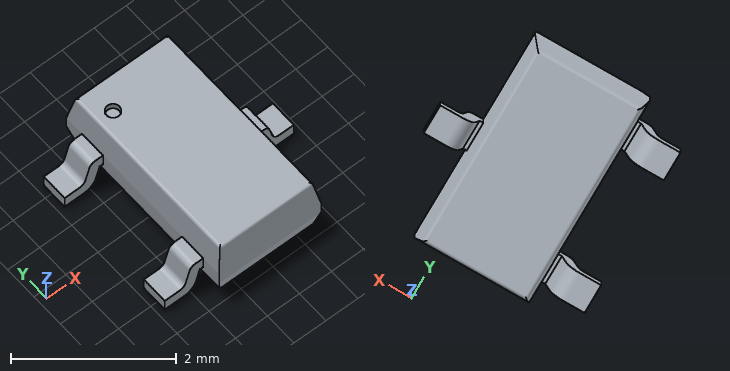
import cadquery as cq
import math

body_width = 1.6
body_length = 2.9
body_bottom = 0.05
body_top = 1.0
upper_draft = math.radians(10)
edge_radius = 0.04

mark_diameter = 0.2
mark_depth = 0.1
mark_x = -0.48

span = 2.8
lead_thickness = 0.2
lead_width = 0.4
lead_pitch = 0.95
shoulder_top = 0.56
shoulder_bottom = shoulder_top - lead_thickness
leg_angle = math.radians(74)
upper_corner_reach = 0.193
bend_radius = 0.1
heel_radius = 0.2

face_inset = (body_top - shoulder_top) * math.tan(upper_draft)


def drafted_half(parting_z, face_z):
    """Tapered block from the parting outline to the smaller, flat end face."""
    return (
        cq.Workplane("XY", origin=(0, 0, parting_z))
        .rect(body_width, body_length)
        .workplane(offset=face_z - parting_z)
        .rect(body_width - 2 * face_inset, body_length - 2 * face_inset)
        .loft(ruled=True)
    )


def make_body():
    """Straight band level with the leads, drafted above and below, with a pin 1 mark."""
    band = (
        cq.Workplane("XY", origin=(0, 0, shoulder_bottom))
        .rect(body_width, body_length)
        .extrude(lead_thickness)
    )
    upper = drafted_half(shoulder_top, body_top).faces(">Z").edges().fillet(edge_radius)
    lower = drafted_half(shoulder_bottom, body_bottom).faces("<Z").edges().fillet(edge_radius)
    mark = (
        cq.Workplane("XY", origin=(mark_x, lead_pitch, body_top))
        .circle(mark_diameter / 2)
        .extrude(-mark_depth)
    )
    return band.union(upper).union(lower).cut(mark)


def make_lead(side, y_center):
    """One lead, butted against the body face on the given side (-1 or +1) of X."""
    body_face = body_width / 2
    tip = span / 2

    def leg_outer_x(z):
        return body_face + upper_corner_reach + (shoulder_top - z) / math.tan(leg_angle)

    def leg_inner_x(z):
        return leg_outer_x(z) - lead_thickness

    shoulder_corner = (leg_outer_x(shoulder_top), shoulder_top)
    foot_corner = (leg_outer_x(lead_thickness), lead_thickness)
    heel_corner = (leg_inner_x(0), 0)
    profile = [
        (body_face, shoulder_top),
        shoulder_corner,
        foot_corner,
        (tip, lead_thickness),
        (tip, 0),
        heel_corner,
        (leg_inner_x(shoulder_bottom), shoulder_bottom),
        (body_face, shoulder_bottom),
    ]
    lead = (
        cq.Workplane("XZ", origin=(0, y_center, 0))
        .polyline([(side * x, z) for x, z in profile])
        .close()
        .extrude(lead_width / 2, both=True)
    )
    bends = [
        (shoulder_corner, bend_radius),
        (foot_corner, bend_radius),
        (heel_corner, heel_radius),
    ]
    for (x, z), radius in bends:
        corner_edge = cq.selectors.NearestToPointSelector((side * x, y_center, z))
        lead = lead.edges("|Y").edges(corner_edge).fillet(radius)
    return lead


body = make_body()
lead_places = [(-1, -lead_pitch), (-1, lead_pitch), (1, 0)]
leads = [make_lead(side, y_center) for side, y_center in lead_places]

result = cq.Compound.makeCompound([body.val(), *[lead.val() for lead in leads]])